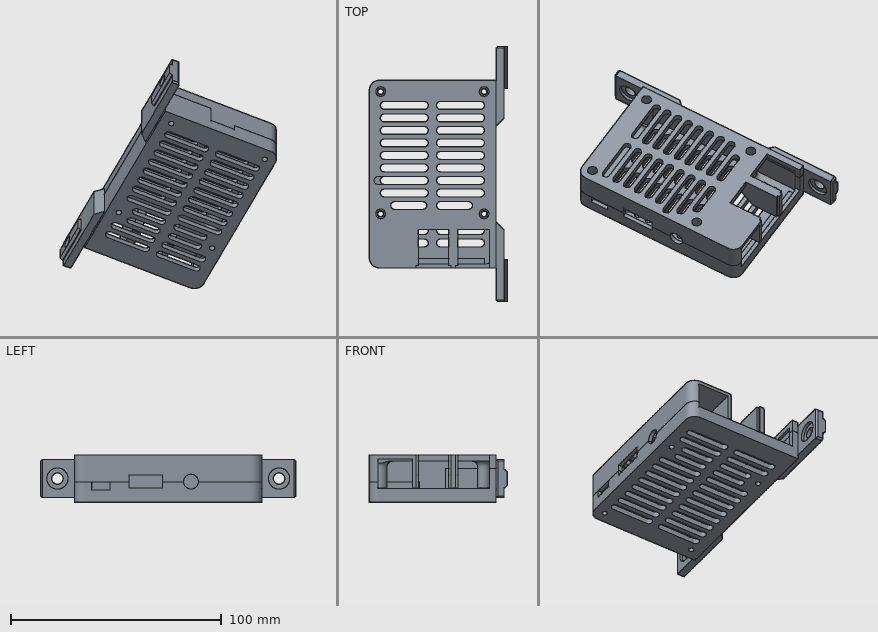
import cadquery as cq
import math


case_width = 60.2
case_length = 89.2
case_height = 22.5
corner_radius = 5.0
wall = 1.9
floor_thickness = 3.0
roof_thickness = 3.0
cavity_corner_radius = corner_radius - wall

front_y = -case_length / 2
back_y = case_length / 2
ceiling_z = case_height - roof_thickness
mid_z = case_height / 2

screw_inset = 5.5
screw_spacing_x = 49.1
screw_spacing_y = 58.0
board_mid_x = screw_inset + screw_spacing_x / 2
boss_diameter = 6.0
pilot_diameter = 2.5
clearance_diameter = 3.2
screw_head_diameter = 4.6
screw_head_depth = 7.3
board_underside_z = 5.3
board_top_z = 6.9
lid_boss_fillet = 2.8
base_boss_fillet = 1.9

low_joint_z = 9.6
high_joint_z = 16.1
card_notch_width = 12.4
card_notch_rounding = 1.7
notch_left_x = board_mid_x - card_notch_width / 2
notch_right_x = board_mid_x + card_notch_width / 2

ledge_depth = 2.7
ledge_end_inset = 5.5

slot_height = 3.6
slot_pitch = 5.9
first_slot_y = 32.6
long_slot_length = 22.7
short_slot_length = 17.0
left_slot_end_x = 28.0
right_slot_start_x = 2 * board_mid_x - left_slot_end_x
short_left_slot_start_x = 10.3
extended_slot_start_x = 2.3
lid_slot_rows = 9
base_slot_rows = 12
short_rows = (8, 9)
extended_row = 6

sill_z = 6.5
window_left_x = 4.1
window_right_x = 57.1
first_divider_x = 20.5
first_divider_width = 2.9
second_divider_x = 37.7
second_divider_width = 4.4
divider_length = 20.5
divider_chamfer = 6.0
divider_step = 1.1
covered_bay_top_z = 20.6
covered_bay_depth = 21.9
open_bay_depth = 18.2

power_port = (32.0, 8.8, 5.8, low_joint_z)
video_port = (10.7, 15.9, 6.9, 13.0)
audio_port_diameter = 7.0
audio_port_y = -10.8
audio_port_z = 9.8

ear_span = 121.2
ear_thickness = 3.8
ear_height = 18.2
ear_inner_y = 22.7
ear_end_chamfer = 0.8
ear_hole_y = 52.6
ear_hole_diameter = 5.3
ear_counterbore_diameter = 10.0
ear_counterbore_depth = 1.5
rib_thickness = 1.6
rib_height = 8.7
rib_length = 20.0
rib_chamfer = 1.2


def block(x0, x1, y0, y1, z0, z1):
    """Box given by its limits along each axis."""
    return cq.Workplane("XY").box(x1 - x0, y1 - y0, z1 - z0, centered=False).translate((x0, y0, z0))


def case_block(z0, z1):
    """Outer case outline, rounded on the two port-wall corners, between two heights."""
    return block(0, case_width, front_y, back_y, z0, z1).edges("|Z and <X").fillet(corner_radius)


def cavity(z0, z1):
    """Inner space of the case between two heights."""
    space = block(wall, case_width - wall, front_y + wall, back_y - wall, z0, z1)
    return space.edges("|Z").fillet(cavity_corner_radius)


def screw_points():
    x_places = (screw_inset, screw_inset + screw_spacing_x)
    back_screw_y = back_y - screw_inset
    y_places = (back_screw_y, back_screw_y - screw_spacing_y)
    return [(x, y) for x in x_places for y in y_places]


def flared_boss(root_z, tip_z, fillet):
    """Post on the Z axis that flares out at its root with a concave round."""
    radius = boss_diameter / 2
    toward_tip = 1 if tip_z > root_z else -1
    flare_z = root_z + toward_tip * fillet
    arc_inset = fillet * (1 - math.sqrt(0.5))
    return (
        cq.Workplane("XZ")
        .moveTo(0, root_z)
        .lineTo(radius + fillet, root_z)
        .threePointArc((radius + arc_inset, root_z + toward_tip * arc_inset), (radius, flare_z))
        .lineTo(radius, tip_z)
        .lineTo(0, tip_z)
        .close()
        .revolve(360, (0, 0, 0), (0, 1, 0))
    )


def add_bosses(body, root_z, tip_z, fillet):
    room = cavity(min(root_z, tip_z), max(root_z, tip_z))
    for x, y in screw_points():
        boss = flared_boss(root_z, tip_z, fillet).translate((x, y, 0))
        body = body.union(boss.intersect(room))
    return body


def screw_holes(diameter, z0, z1):
    """Upright drills at all four screws."""
    plane = cq.Workplane("XY").workplane(offset=z0)
    return plane.pushPoints(screw_points()).circle(diameter / 2).extrude(z1 - z0)


def slot(start_x, end_x, y, z0, z1):
    """Upright cutter for one round-ended slot."""
    return (
        cq.Workplane("XY")
        .workplane(offset=z0)
        .center((start_x + end_x) / 2, y)
        .slot2D(end_x - start_x, slot_height)
        .extrude(z1 - z0)
    )


def cut_slots(body, rows, z0, z1):
    """Two columns of slots, with shorter ones next to the front screws."""
    for row in range(rows):
        y = first_slot_y - row * slot_pitch
        if row in short_rows:
            left_x = short_left_slot_start_x
            length = short_slot_length
        else:
            left_x = left_slot_end_x - long_slot_length
            length = long_slot_length
        body = body.cut(slot(left_x, left_x + length, y, z0, z1))
        body = body.cut(slot(right_slot_start_x, right_slot_start_x + length, y, z0, z1))
    return body


def side_port(center_y, width, z0, z1):
    return block(0, wall, center_y - width / 2, center_y + width / 2, z0, z1)


def cut_side_ports(body):
    """Power, video and round audio openings through the left wall."""
    audio = (
        cq.Workplane("YZ")
        .center(audio_port_y, audio_port_z)
        .circle(audio_port_diameter / 2)
        .extrude(wall)
    )
    return body.cut(side_port(*power_port)).cut(side_port(*video_port)).cut(audio)


def card_notch():
    """Notch in the back wall of the base, filled by a tab of the lid."""
    return block(notch_left_x, notch_right_x, back_y - wall, back_y, sill_z, high_joint_z)


def low_joint_region():
    """Part of the case, left of the high joint, that the lid takes over from the base."""
    return block(0, notch_right_x, front_y, back_y, low_joint_z, high_joint_z)


def mounting_ear():
    """Ear at the +Y end: a plate with a slanted inner end, a bevelled rib and a counterbored hole."""
    end_y = ear_span / 2
    outer_x = case_width + ear_thickness
    bottom_z = mid_z - ear_height / 2
    plate = (
        cq.Workplane("XY")
        .workplane(offset=bottom_z)
        .polyline([
            (case_width, ear_inner_y),
            (outer_x, ear_inner_y + ear_thickness),
            (outer_x, end_y),
            (case_width, end_y),
        ])
        .close()
        .extrude(ear_height)
    )
    plate = plate.faces(">Y").edges("|X or <X").chamfer(ear_end_chamfer)
    rib = block(
        outer_x, outer_x + rib_thickness, end_y - rib_length, end_y,
        mid_z - rib_height / 2, mid_z + rib_height / 2,
    )
    rib = rib.faces(">X").edges("|Y").chamfer(rib_chamfer)
    drill = cq.Workplane("YZ").workplane(offset=case_width).center(ear_hole_y, mid_z)
    hole = drill.circle(ear_hole_diameter / 2).extrude(ear_thickness + rib_thickness)
    counterbore = drill.circle(ear_counterbore_diameter / 2).extrude(ear_counterbore_depth)
    return plate.union(rib).cut(hole).cut(counterbore)


def make_base():
    base = case_block(0, high_joint_z).cut(cavity(floor_thickness, high_joint_z))
    base = base.cut(low_joint_region())

    sill_depth = wall + cavity_corner_radius
    base = base.cut(block(window_left_x, window_right_x, front_y, front_y + sill_depth, sill_z, high_joint_z))

    base = base.cut(card_notch())
    for x in (notch_left_x, notch_right_x):
        edge_finder = cq.selectors.BoxSelector(
            (x - wall / 2, back_y - 1.5 * wall, sill_z),
            (x + wall / 2, back_y - wall / 2, high_joint_z),
        )
        base = base.edges("|Z").edges(edge_finder).fillet(card_notch_rounding)

    base = add_bosses(base, floor_thickness, board_underside_z, base_boss_fillet)
    ledge_y = front_y + wall
    ledge = block(
        ledge_end_inset, case_width - ledge_end_inset, ledge_y, ledge_y + ledge_depth,
        floor_thickness, board_underside_z,
    )
    base = base.union(ledge)

    base = base.cut(screw_holes(pilot_diameter, 0, board_underside_z))
    base = cut_slots(base, base_slot_rows, 0, board_underside_z)
    base = cut_side_ports(base)

    ear = mounting_ear()
    return base.union(ear).union(ear.mirror("XZ"))


def divider(x, width, stepped_sides):
    """Upright wall between two connectors, chamfered low at the rear and stepped at its front corners."""
    rear_y = front_y + divider_length
    web = (
        cq.Workplane("YZ")
        .workplane(offset=x)
        .polyline([
            (front_y, board_top_z),
            (rear_y - divider_chamfer, board_top_z),
            (rear_y, board_top_z + divider_chamfer),
            (rear_y, case_height),
            (front_y, case_height),
        ])
        .close()
        .extrude(width)
    )
    step_places = {"left": x, "right": x + width - divider_step}
    for side in stepped_sides:
        step_x = step_places[side]
        step = block(
            step_x, step_x + divider_step, front_y, front_y + divider_step, board_top_z, case_height,
        )
        web = web.cut(step)
    return web


def make_lid():
    lid = case_block(low_joint_z, case_height).cut(cavity(low_joint_z, ceiling_z))
    lid = lid.cut(block(notch_right_x, case_width, front_y, back_y, low_joint_z, high_joint_z))
    lid = lid.union(card_notch())
    lid = add_bosses(lid, ceiling_z, board_top_z, lid_boss_fillet)

    lid = lid.cut(block(
        window_left_x, first_divider_x, front_y, front_y + covered_bay_depth, board_top_z, covered_bay_top_z,
    ))
    lid = lid.cut(block(
        first_divider_x, window_right_x, front_y, front_y + open_bay_depth, board_top_z, case_height,
    ))
    lid = lid.union(divider(first_divider_x, first_divider_width, ["right"]))
    lid = lid.union(divider(second_divider_x, second_divider_width, ["left", "right"]))

    lid = lid.cut(screw_holes(clearance_diameter, board_top_z, case_height))
    lid = lid.cut(screw_holes(screw_head_diameter, case_height - screw_head_depth, case_height))

    slot_bottom_z = ceiling_z - lid_boss_fillet
    lid = cut_slots(lid, lid_slot_rows, slot_bottom_z, case_height)
    extended_y = first_slot_y - extended_row * slot_pitch
    lid = lid.cut(slot(extended_slot_start_x, left_slot_end_x, extended_y, slot_bottom_z, case_height))
    return cut_side_ports(lid)


base = make_base()
lid = make_lid()

result = cq.Compound.makeCompound([base.solids().val(), lid.solids().val()])